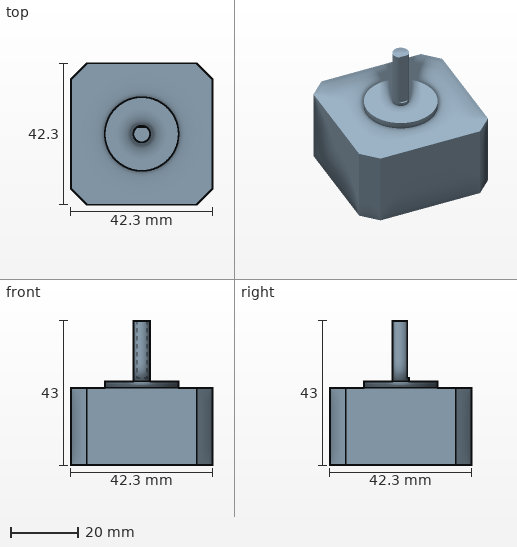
import cadquery as cq

total_height = 43.0
housing_width = 42.3
housing_height = 23.0
corner_chamfer = 4.8

boss_diameter = 22.0
boss_height = 1.98

shaft_diameter = 5.0
flat_depth = 0.5
flat_start = 1.1

boss_top = housing_height + boss_height
shaft_length = total_height - boss_top


def make_housing():
    """Square motor housing with cut corners and a round boss on top."""
    block = (
        cq.Workplane("XY")
        .rect(housing_width, housing_width)
        .extrude(housing_height)
        .edges("|Z")
        .chamfer(corner_chamfer)
    )
    boss = (
        cq.Workplane("XY")
        .workplane(offset=housing_height)
        .circle(boss_diameter / 2)
        .extrude(boss_height)
    )
    return block.union(boss)


def make_shaft():
    """Round shaft with a flat on its +Y side, open at the top end."""
    rod = (
        cq.Workplane("XY")
        .workplane(offset=boss_top)
        .circle(shaft_diameter / 2)
        .extrude(shaft_length)
    )
    flat_cut = (
        cq.Workplane("XY")
        .workplane(offset=boss_top + flat_start)
        .center(0, shaft_diameter / 2 - flat_depth / 2)
        .rect(shaft_diameter, flat_depth)
        .extrude(shaft_length - flat_start)
    )
    return rod.cut(flat_cut)


housing = make_housing()
shaft = make_shaft()

result = cq.Compound.makeCompound([housing.val(), shaft.val()])